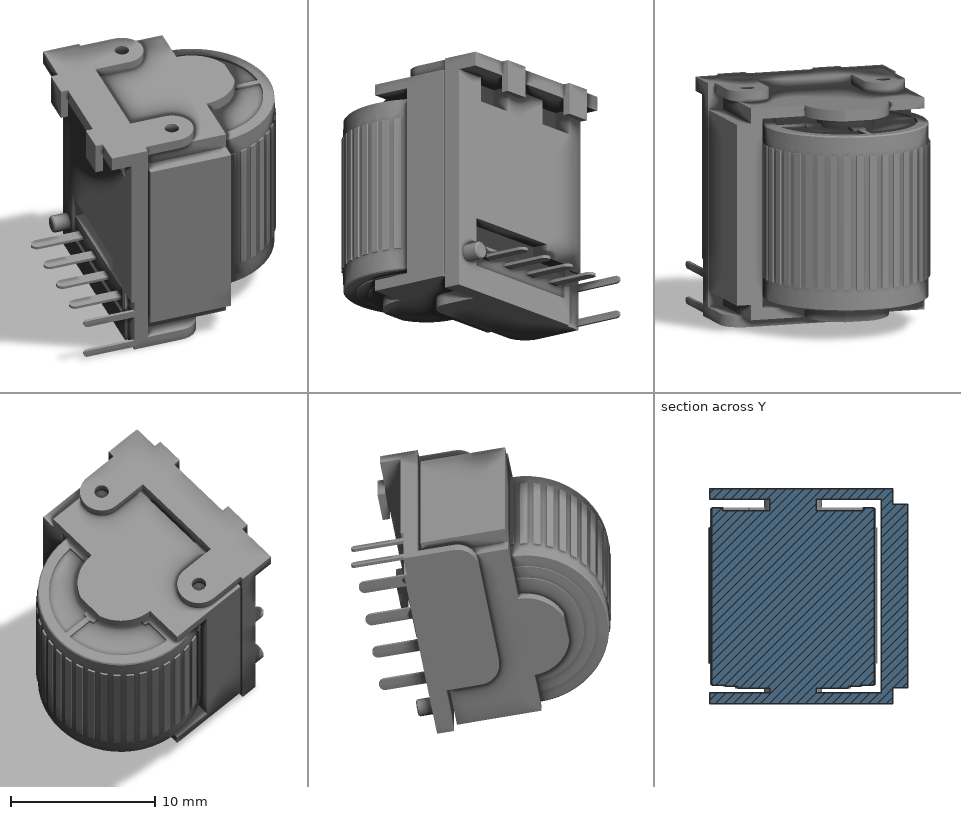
import cadquery as cq
import math


WIDTH = 13.77
HEIGHT = 16.6
PLATE_THICK = 1.2

OVERHANG = 1.45
OVERHANG_THICK = 1.0
EAR_RADIUS = 1.5
EAR_HOLE_DIA = 1.0
EAR_Y = 3.72
EAR_X = [1.76, 11.76]
EAR_THICK = 0.72

SHELF_LEFT = 3.18
SHELF_THICK = 0.82

TAB_X = [3.99, 10.95]
TAB_WIDTH = 2.0
TAB_THICK = 0.52
TAB_HEIGHT = 2.23
WINDOW_WIDTH = 3.0
WINDOW_HEIGHT = 2.75

RECESS = 0.2
OPENING_LEFT = 1.98
OPENING_RIGHT = 11.98
OPENING_BOTTOM = 1.85
OPENING_TOP = 5.28
OPENING_STEP_X = 9.95
OPENING_STEP_TOP = 4.32
BLOCK_TOP = 3.57

CORNER_LEFT = 12.48
CORNER_TOP = 4.0

PIN_TIP_Y = -3.5
TERMINAL_X = 3.15
TERMINAL_Z = 2.68
TERMINAL_PITCH = 2.55
TERMINAL_COUNT = 4
TERMINAL_WIDTH = 0.84
TERMINAL_THICK = 0.2
SWITCH_PIN_Z = [0.49, 3.0]
SWITCH_PIN_WIDTH = 0.5
SWITCH_PIN_THICK = 0.22

PEG_X = 0.99
PEG_Z = 2.51
PEG_DIA = 1.2
PEG_LENGTH = 1.2
PEG_CHAMFER = 0.1

HOLDER_FRONT = 1.4
HOLDER_BOTTOM = 0.89
HOLDER_TOP = 15.83
SPINE_BACK = 4.55
FLANGE_THICK = 0.77
FLANGE_RIGHT = 12.73
TONGUE_RADIUS = 3.0
TONGUE_REACH = 2.83
ARM_THICK = 0.84
ENCODER_DROP = 1.09

PIVOT_X = 6.68
PIVOT_Z = 9.0
PIVOT_DIA = 1.0

AXIS_X = 5.8
AXIS_Y = 7.37
WHEEL_RADIUS = 5.76
WHEEL_BOTTOM = 2.16
WHEEL_TOP = 14.5
WHEEL_CHAMFER = 0.08
HUB_DIA = 4.0
BOTTOM_DISCS = [(4.85, 2.08), (4.02, 1.96)]
GRIP_RADIUS = 5.88
GRIP_COUNT = 40
GRIP_WIDTH = 0.5
GRIP_BOTTOM = 3.68
GRIP_TOP = 13.13

POCKET_RADIUS = 4.99
POCKET_DEPTH = 0.2
POCKET_FILLET = 0.1
SPOKE_WIDTH = 0.37
SPOKE_ROOT_WIDTH = 0.97
SPOKE_ROOT_RADIUS = 3.05


def box(x0, x1, y0, y1, z0, z1):
    return cq.Workplane("XY").box(x1 - x0, y1 - y0, z1 - z0, centered=False).translate((x0, y0, z0))


def disc(x, y, radius, z0, z1):
    return cq.Workplane("XY").center(x, y).circle(radius).extrude(z1 - z0).translate((0, 0, z0))


def rod_along_y(x, z, dia, y0, y1):
    return cq.Workplane("XZ", origin=(x, y0, z)).circle(dia / 2).extrude(y0 - y1)


def ear(x, z0, z1):
    shank = box(x - EAR_RADIUS, x + EAR_RADIUS, PLATE_THICK, EAR_Y, z0, z1)
    rounded = shank.union(disc(x, EAR_Y, EAR_RADIUS, z0, z1))
    return rounded.cut(disc(x, EAR_Y, EAR_HOLE_DIA / 2, z0, z1))


def make_plate():
    plate = box(0, WIDTH, 0, PLATE_THICK, 0, HEIGHT)
    for x in TAB_X:
        half = WINDOW_WIDTH / 2
        plate = plate.cut(
            box(x - half, x + half, 0, PLATE_THICK, HEIGHT - WINDOW_HEIGHT, HEIGHT - OVERHANG_THICK)
        )
    opening = (
        cq.Workplane("XZ")
        .moveTo(OPENING_LEFT, BLOCK_TOP)
        .lineTo(OPENING_LEFT, OPENING_TOP)
        .lineTo(OPENING_STEP_X, OPENING_TOP)
        .lineTo(OPENING_STEP_X, OPENING_STEP_TOP)
        .lineTo(OPENING_RIGHT, OPENING_STEP_TOP)
        .lineTo(OPENING_RIGHT, BLOCK_TOP)
        .close()
        .extrude(-PLATE_THICK)
    )
    block_face = box(OPENING_LEFT, OPENING_RIGHT, 0, RECESS, OPENING_BOTTOM, BLOCK_TOP)
    corner = box(CORNER_LEFT, WIDTH, 0, RECESS, 0, CORNER_TOP)
    return plate.cut(opening).cut(block_face).cut(corner)


def make_top_bracket():
    overhang_z = HEIGHT - OVERHANG_THICK
    bracket = box(0, WIDTH, -OVERHANG, PLATE_THICK, overhang_z, HEIGHT)
    for x in TAB_X:
        half = TAB_WIDTH / 2
        bracket = bracket.union(
            box(x - half, x + half, -OVERHANG - TAB_THICK, -OVERHANG, HEIGHT - TAB_HEIGHT, HEIGHT)
        )
    for x in EAR_X:
        bracket = bracket.union(ear(x, HEIGHT - EAR_THICK, HEIGHT))
    return bracket


def make_shelf():
    shelf = box(SHELF_LEFT, WIDTH, PLATE_THICK, EAR_Y + EAR_RADIUS, 0, SHELF_THICK)
    return shelf.edges("|Z and >Y").fillet(EAR_RADIUS)


def make_pins():
    pins = cq.Workplane("XY")
    radius = TERMINAL_WIDTH / 2
    for i in range(TERMINAL_COUNT):
        x = TERMINAL_X + i * TERMINAL_PITCH
        z0 = TERMINAL_Z - TERMINAL_THICK / 2
        z1 = z0 + TERMINAL_THICK
        pins = pins.union(box(x - radius, x + radius, PIN_TIP_Y + radius, PLATE_THICK, z0, z1))
        pins = pins.union(disc(x, PIN_TIP_Y + radius, radius, z0, z1))
    radius = SWITCH_PIN_WIDTH / 2
    x0 = WIDTH - SWITCH_PIN_THICK
    for z in SWITCH_PIN_Z:
        pins = pins.union(box(x0, WIDTH, PIN_TIP_Y + radius, PLATE_THICK, z - radius, z + radius))
        tip = cq.Workplane("YZ", origin=(x0, PIN_TIP_Y + radius, z)).circle(radius)
        pins = pins.union(tip.extrude(SWITCH_PIN_THICK))
    return pins


def make_peg():
    return rod_along_y(PEG_X, PEG_Z, PEG_DIA, 0, -PEG_LENGTH).faces("<Y").chamfer(PEG_CHAMFER)


def flange(z0):
    z1 = z0 + FLANGE_THICK
    tongue = disc(AXIS_X, AXIS_Y, TONGUE_RADIUS, z0, z1).intersect(
        box(0, WIDTH, SPINE_BACK, AXIS_Y + TONGUE_REACH, z0, z1)
    )
    return box(0, FLANGE_RIGHT, HOLDER_FRONT, AXIS_Y, z0, z1).union(tongue)


def make_holder():
    holder = box(0, FLANGE_RIGHT, HOLDER_FRONT, SPINE_BACK, HOLDER_BOTTOM, HOLDER_TOP)
    holder = holder.union(flange(HOLDER_BOTTOM)).union(flange(HOLDER_TOP - FLANGE_THICK))
    arm = box(FLANGE_RIGHT - ARM_THICK, FLANGE_RIGHT, HOLDER_FRONT, AXIS_Y, HOLDER_BOTTOM, HOLDER_TOP)
    encoder = box(
        FLANGE_RIGHT, WIDTH, HOLDER_FRONT, AXIS_Y, HOLDER_BOTTOM + ENCODER_DROP, HOLDER_TOP - ENCODER_DROP
    )
    return holder.union(arm).union(encoder)


def wheel_pockets():
    floor = WHEEL_TOP - POCKET_DEPTH
    pockets = disc(0, 0, POCKET_RADIUS, floor, WHEEL_TOP).cut(disc(0, 0, HUB_DIA / 2, floor, WHEEL_TOP))
    spoke = SPOKE_WIDTH / 2
    root = SPOKE_ROOT_WIDTH / 2
    for length, half in [(POCKET_RADIUS, spoke), (SPOKE_ROOT_RADIUS, root)]:
        pockets = pockets.cut(box(-length, length, -half, half, floor, WHEEL_TOP))
        pockets = pockets.cut(box(-half, half, -length, length, floor, WHEEL_TOP))
    return pockets.edges("|Z").fillet(POCKET_FILLET).translate((AXIS_X, AXIS_Y, 0))


def make_wheel():
    wheel = disc(AXIS_X, AXIS_Y, WHEEL_RADIUS, WHEEL_BOTTOM, WHEEL_TOP)
    wheel = wheel.faces("<Z or >Z").chamfer(WHEEL_CHAMFER)
    wheel = wheel.cut(wheel_pockets())
    for radius, bottom in BOTTOM_DISCS:
        wheel = wheel.union(disc(AXIS_X, AXIS_Y, radius, bottom, WHEEL_BOTTOM))
    grip_root = WHEEL_RADIUS * math.cos(math.pi / GRIP_COUNT)
    grips = (
        cq.Workplane("XY", origin=(AXIS_X, AXIS_Y, GRIP_BOTTOM))
        .polarArray((grip_root + GRIP_RADIUS) / 2, 0, 360, GRIP_COUNT)
        .rect(GRIP_RADIUS - grip_root, GRIP_WIDTH)
        .extrude(GRIP_TOP - GRIP_BOTTOM)
    )
    hub = disc(AXIS_X, AXIS_Y, HUB_DIA / 2, HOLDER_BOTTOM, HOLDER_TOP)
    return wheel.union(grips).union(hub)


pivot = rod_along_y(PIVOT_X, PIVOT_Z, PIVOT_DIA, PLATE_THICK / 2, HOLDER_FRONT + PIVOT_DIA)

result = (
    make_plate()
    .union(make_top_bracket())
    .union(make_shelf())
    .union(make_pins())
    .union(make_peg())
    .union(pivot)
    .union(make_holder())
    .union(make_wheel())
)